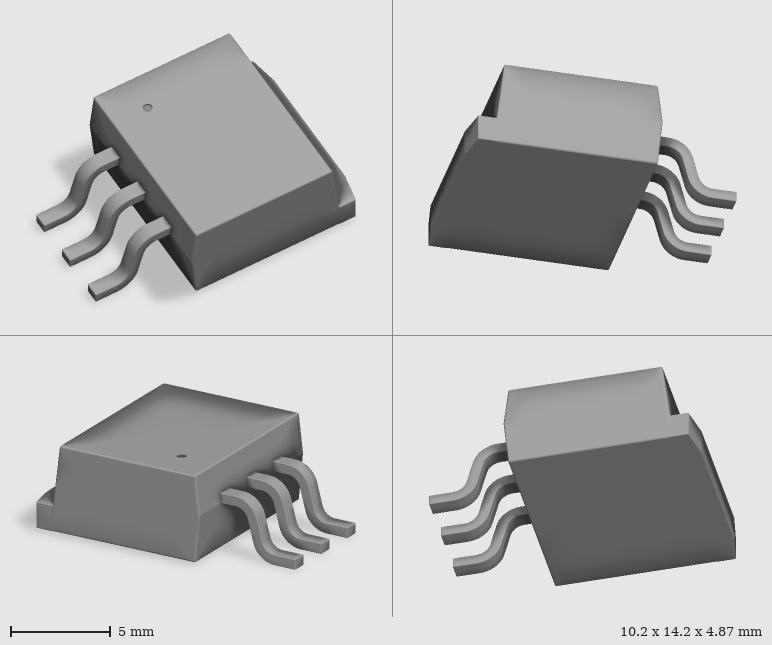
import cadquery as cq
import math


body_width = 10.16
body_bottom = 0.17
body_top = 4.87
parting_height = 2.75
body_front = 4.35
front_setback = 0.25
back_draft = 7.0
body_round = 0.1

tab_start = 12.97
tab_end = 14.23
tab_top = 1.58
tab_nose_width = 7.0
tab_nose_drop = 0.3
tab_round = 0.05

lead_pitch = 2.54
lead_offsets = (-lead_pitch, 0, lead_pitch)
lead_width = 0.83
lead_thickness = 0.57
lead_top = 3.28
lead_bend_angle = 75.0
lead_inner_radius = 0.75
foot_length = 1.22
lead_embed = 0.5
lead_round = 0.05

mark_diameter = 0.5
mark_depth = 0.1
mark_x = -3.08
mark_y = 6.6


def make_body():
    """Side profile with drafted ends, extruded across the full width."""
    back_slope = math.tan(math.radians(back_draft))
    back_bottom = tab_start + (tab_top - body_bottom) * back_slope
    back_top = tab_start - (body_top - tab_top) * back_slope
    profile = [
        (body_front + front_setback, body_bottom),
        (body_front, parting_height),
        (body_front + front_setback, body_top),
        (back_top, body_top),
        (back_bottom, body_bottom),
    ]
    block = cq.Workplane("YZ").polyline(profile).close().extrude(body_width / 2, both=True)
    return block.edges("not <Y").fillet(body_round)


def make_tab():
    """Flat tab behind the body, its outer end tapered at both corners."""
    half_width = body_width / 2
    half_nose = tab_nose_width / 2
    shoulder = tab_end - tab_nose_drop
    outline = [
        (-half_width, tab_start),
        (-half_width, shoulder),
        (-half_nose, tab_end),
        (half_nose, tab_end),
        (half_width, shoulder),
        (half_width, tab_start),
    ]
    plate = (
        cq.Workplane("XY", origin=(0, 0, body_bottom))
        .polyline(outline)
        .close()
        .extrude(tab_top - body_bottom)
    )
    return plate.edges("not <Y").fillet(tab_round)


def make_lead(x):
    """Constant-thickness strip swept along straight and bent stretches."""
    angle = math.radians(lead_bend_angle)
    mean_radius = lead_inner_radius + lead_thickness / 2
    foot_height = lead_thickness / 2
    shoulder_height = lead_top - lead_thickness / 2
    bend_run = mean_radius * math.sin(angle)
    bend_rise = mean_radius * (1 - math.cos(angle))
    slope_rise = shoulder_height - foot_height - 2 * bend_rise
    slope_run = slope_rise / math.tan(angle)

    half_run = mean_radius * math.sin(angle / 2)
    half_rise = mean_radius * (1 - math.cos(angle / 2))
    shoulder_y = foot_length + 2 * bend_run + slope_run

    path = (
        cq.Workplane("YZ", origin=(x, 0, 0))
        .moveTo(0, foot_height)
        .lineTo(foot_length, foot_height)
        .threePointArc(
            (foot_length + half_run, foot_height + half_rise),
            (foot_length + bend_run, foot_height + bend_rise),
        )
        .lineTo(shoulder_y - bend_run, shoulder_height - bend_rise)
        .threePointArc(
            (shoulder_y - half_run, shoulder_height - half_rise),
            (shoulder_y, shoulder_height),
        )
        .lineTo(body_front + lead_embed, shoulder_height)
    )
    strip = (
        cq.Workplane("XZ", origin=(x, 0, foot_height))
        .rect(lead_width, lead_thickness)
        .sweep(path)
    )
    return strip.faces("<X or >X or <Y").edges("not >Y").fillet(lead_round)


def make_pin_mark():
    """Round recess cutter sunk into the top face."""
    return (
        cq.Workplane("XY", origin=(mark_x, mark_y, body_top - mark_depth))
        .circle(mark_diameter / 2)
        .extrude(mark_depth)
    )


result = make_body().cut(make_pin_mark())
for lead_x in lead_offsets:
    result = result.union(make_lead(lead_x))
result = result.union(make_tab(), clean=False)